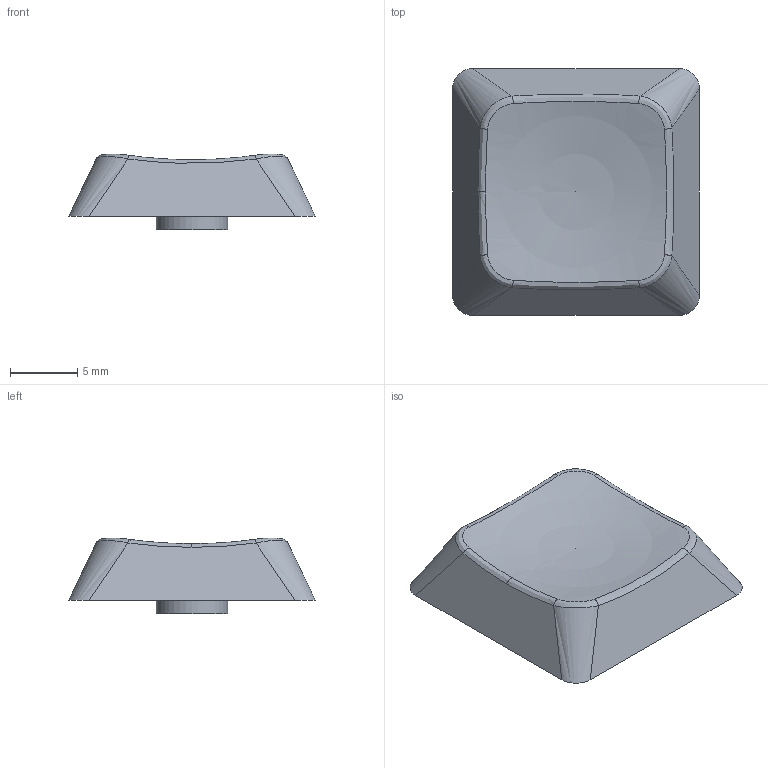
import cadquery as cq

base_side = 18.3
base_corner_radius = 1.5
upper_side = 13.5
upper_corner_radius = 2.5
loft_height = 5.0

dish_radius = 32.0
dish_bottom_z = 3.5
rim_fillet_radius = 0.5

stem_diameter = 5.3
stem_length = 1.0


def rounded_square(side, corner_radius):
    return cq.Sketch().rect(side, side).vertices().fillet(corner_radius)


def make_tapered_body():
    lower = rounded_square(base_side, base_corner_radius)
    upper = rounded_square(upper_side, upper_corner_radius)
    raised_upper = upper.moved(cq.Location(cq.Vector(0, 0, loft_height)))
    return cq.Workplane("XY").placeSketch(lower, raised_upper).loft(ruled=True)


def cut_dish(body):
    ball = cq.Workplane("XY").sphere(dish_radius).rotate((0, 0, 0), (0, 0, 1), 180)
    return body.cut(ball.translate((0, 0, dish_bottom_z + dish_radius)))


def round_rim(body):
    return body.faces("%SPHERE").edges().fillet(rim_fillet_radius)


def add_stem(body):
    stem = cq.Workplane("XY").circle(stem_diameter / 2).extrude(-stem_length)
    return body.union(stem)


tapered_body = make_tapered_body()
dished_body = round_rim(cut_dish(tapered_body))
result = add_stem(dished_body)